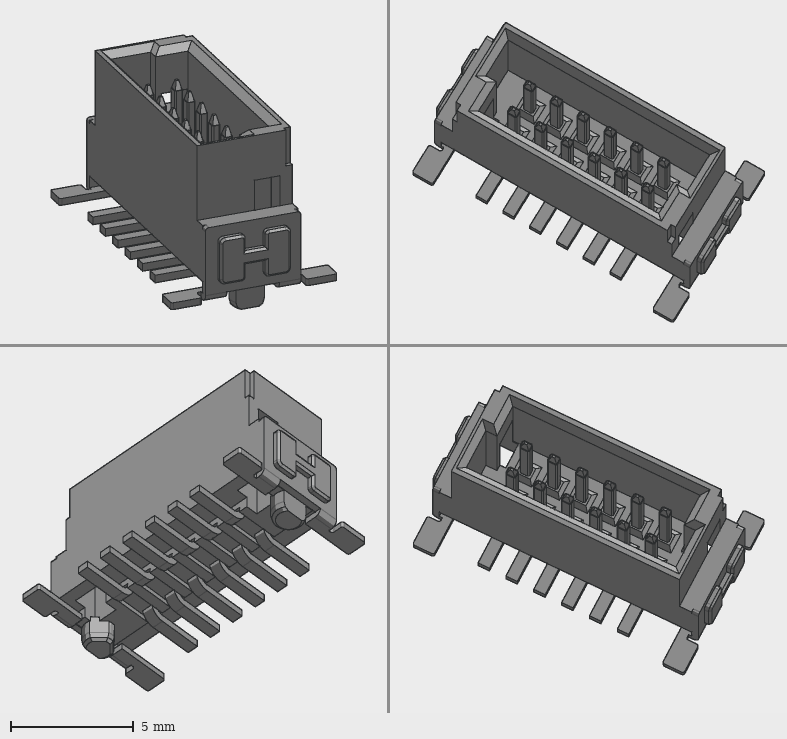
import cadquery as cq

HOUSING_DEPTH = 4.24
HOUSING_BOTTOM = 0.27
KEEL_HALF_DEPTH = 1.02
BODY_BOTTOM = 0.81
BASE_LENGTH = 11.5
BASE_TOP = 3.31
SHROUD_LENGTH = 10.4
SHROUD_TOP = 6.64

CAVITY_FLOOR = 2.03
CAVITY_HALF_DEPTH = 1.6
CAVITY_HALF_LENGTH = 4.78
KEYED_HALF_LENGTH = 4.27
KEY_FACE_Y = 0.17
LEAD_IN = 0.3

WINDOW_Y = (0.43, 1.56)
WINDOW_TOP = 4.65
WINDOW_INNER_X = 4.0
CORNER_NOTCH_LENGTH = 0.22
CORNER_NOTCH_DEPTH = 0.29
CORNER_NOTCH_BOTTOM = 5.04
TAIL_NOTCH_WIDTH = 0.8
TAIL_NOTCH_TOP = 0.51

PIN_COUNT = 6
PITCH = 1.27
PIN_WIDTH = 0.46
PIN_DEPTH = 0.37
PIN_EDGE_CHAMFER = 0.06
PIN_TOP = 5.68
TIP_HEIGHT = 0.4
TIP_WIDTH = 0.13
TIP_DEPTH = 0.11
COLLAR_WIDTH = 0.98
COLLAR_DEPTH = 0.94
COLLAR_TOP_WIDTH = 0.64
COLLAR_TOP_DEPTH = 0.51
COLLAR_HEIGHT = 0.19
TAIL_WIDTH = 0.52
TAIL_THICKNESS = 0.34
TAIL_REACH = 3.21
TAIL_STEM_BACK_Y = 0.53
TAIL_BEND_RADIUS = 0.29

OVERALL_LENGTH = 12.7
PLATE_FACE_X = 6.06
PLATE_BOTTOM = 0.3
PLATE_CORNER = 0.15
BOSS_BOTTOM = 0.77
BOSS_HEIGHT = 2.06
BOSS_WIDTH = 3.15
BOSS_SLOT_WIDTH = 0.89
BOSS_BRIDGE = 0.6
BOSS_CORNER_RADIUS = 0.24
BOSS_INNER_RADIUS = 0.17
BOSS_CHAMFER = 0.1

FOOT_THICKNESS = 0.3
FOOT_SPAN = 7.38
FOOT_REACH = FOOT_SPAN / 2
FOOT_OUTER_X = 6.18
FOOT_INNER_X = 5.21
FOOT_PAD_START = 2.32
FOOT_NECK_X = 5.61
FOOT_CORNER = 0.1
FOOT_BEND_START = 1.17

PEG_RADIUS = 0.74
PEG_X = 5.38
PEG_ROOT = 0.51
PEG_BOTTOM = -0.74
PEG_TAPER_START = -0.38
PEG_TAPER_END = -0.62
PEG_TAPER_RADIUS = 0.67
PEG_END_RADIUS = 0.53
DIAMOND_FLAT_DISTANCE = 0.62

half_depth = HOUSING_DEPTH / 2
half_base = BASE_LENGTH / 2
half_shroud = SHROUD_LENGTH / 2
pin_columns = [(i - (PIN_COUNT - 1) / 2) * PITCH for i in range(PIN_COUNT)]

peg_stations = [
    (PEG_RADIUS, PEG_ROOT), (PEG_RADIUS, PEG_TAPER_START),
    (PEG_TAPER_RADIUS, PEG_TAPER_END), (PEG_END_RADIUS, PEG_BOTTOM),
]


def block(x_range, y_range, z_range):
    """Box between the given limits."""
    (x0, x1), (y0, y1), (z0, z1) = x_range, y_range, z_range
    return cq.Workplane("XY").box(x1 - x0, y1 - y0, z1 - z0, centered=False).translate((x0, y0, z0))


def both_ends(shape):
    """The shape together with its mirror image about X = 0."""
    return shape.union(shape.mirror("YZ"))


def cavity_outline(z, grow):
    """Stepped cavity outline at height z, grown outward on all sides."""
    wide = CAVITY_HALF_LENGTH + grow
    narrow = KEYED_HALF_LENGTH + grow
    back = CAVITY_HALF_DEPTH + grow
    step = KEY_FACE_Y + grow
    points = [
        (-wide, -back), (wide, -back), (wide, step), (narrow, step),
        (narrow, back), (-narrow, back), (-narrow, step), (-wide, step),
    ]
    return cq.Workplane("XY").workplane(offset=z).polyline(points).close()


def frustum(width, depth, top_width, top_depth, bottom, height):
    """Rectangular frustum centred on the Z axis."""
    return (
        cq.Workplane("XY").workplane(offset=bottom).rect(width, depth)
        .workplane(offset=height).rect(top_width, top_depth).loft(ruled=True)
    )


def make_cavity():
    """Mating cavity with a flared lead-in at the rim."""
    straight_top = SHROUD_TOP - LEAD_IN
    straight = cavity_outline(CAVITY_FLOOR, 0).extrude(straight_top - CAVITY_FLOOR)
    flare_wires = [cavity_outline(straight_top, 0).val(), cavity_outline(SHROUD_TOP, LEAD_IN).val()]
    flare = cq.Workplane(cq.Solid.makeLoft(flare_wires, True))
    return straight.union(flare)


def make_housing():
    """Base, narrow keel underneath and shroud, with the cavity and side openings removed."""
    y_range = (-half_depth, half_depth)
    base = block((-half_base, half_base), y_range, (BODY_BOTTOM, BASE_TOP))
    keel = block((-half_base, half_base), (-KEEL_HALF_DEPTH, KEEL_HALF_DEPTH), (HOUSING_BOTTOM, BODY_BOTTOM))
    shroud = block((-half_shroud, half_shroud), y_range, (BODY_BOTTOM, SHROUD_TOP))
    window = block((-half_shroud, -WINDOW_INNER_X), WINDOW_Y, (HOUSING_BOTTOM, WINDOW_TOP))
    corner_notch = block(
        (-half_shroud, CORNER_NOTCH_LENGTH - half_shroud),
        (half_depth - CORNER_NOTCH_DEPTH, half_depth),
        (CORNER_NOTCH_BOTTOM, SHROUD_TOP),
    )
    housing = base.union(keel).union(shroud).cut(make_cavity()).cut(both_ends(window.union(corner_notch)))
    for x in pin_columns:
        notch_x = (x - TAIL_NOTCH_WIDTH / 2, x + TAIL_NOTCH_WIDTH / 2)
        housing = housing.cut(block(notch_x, y_range, (HOUSING_BOTTOM, TAIL_NOTCH_TOP)))
    return housing


def make_contact():
    """Back-row contact at X = 0: collar, pointed pin and a tail bent towards +Y."""
    collar = frustum(
        COLLAR_WIDTH, COLLAR_DEPTH, COLLAR_TOP_WIDTH, COLLAR_TOP_DEPTH, CAVITY_FLOOR, COLLAR_HEIGHT)
    shoulder = PIN_TOP - TIP_HEIGHT
    shaft = (
        cq.Workplane("XY").workplane(offset=CAVITY_FLOOR).rect(PIN_WIDTH, PIN_DEPTH)
        .extrude(shoulder - CAVITY_FLOOR).edges("|Z").chamfer(PIN_EDGE_CHAMFER)
    )
    tip_base_width = PIN_WIDTH - PIN_EDGE_CHAMFER
    tip_base_depth = PIN_DEPTH - PIN_EDGE_CHAMFER
    tip = frustum(tip_base_width, tip_base_depth, TIP_WIDTH, TIP_DEPTH, shoulder, TIP_HEIGHT)
    stem_front = TAIL_STEM_BACK_Y + TAIL_THICKNESS
    bend_end = stem_front + TAIL_BEND_RADIUS
    outer_radius = TAIL_BEND_RADIUS + TAIL_THICKNESS
    tail = (
        cq.Workplane("YZ").moveTo(bend_end, 0).lineTo(TAIL_REACH, 0).lineTo(TAIL_REACH, TAIL_THICKNESS)
        .lineTo(bend_end, TAIL_THICKNESS)
        .radiusArc((stem_front, outer_radius), TAIL_BEND_RADIUS)
        .lineTo(stem_front, CAVITY_FLOOR).lineTo(TAIL_STEM_BACK_Y, CAVITY_FLOOR)
        .lineTo(TAIL_STEM_BACK_Y, outer_radius)
        .radiusArc((bend_end, 0), -outer_radius).close()
        .extrude(TAIL_WIDTH / 2, both=True)
    )
    return collar.union(shaft).union(tip).translate((0, PITCH / 2, 0)).union(tail)


def make_end_plate():
    """End plate at -X with its chamfered H-shaped boss."""
    plate = block((-PLATE_FACE_X, -half_base), (-half_depth, half_depth), (PLATE_BOTTOM, BASE_TOP))
    plate = plate.edges("|X and >Z").fillet(PLATE_CORNER)

    boss_depth = OVERALL_LENGTH / 2 - PLATE_FACE_X
    boss_middle = BOSS_BOTTOM + BOSS_HEIGHT / 2
    side_width = (BOSS_WIDTH - BOSS_SLOT_WIDTH) / 2
    side_y = (BOSS_SLOT_WIDTH + side_width) / 2
    boss = cq.Workplane("YZ").rect(BOSS_SLOT_WIDTH, BOSS_BRIDGE).extrude(boss_depth)
    for side in (-1, 1):
        bar = cq.Workplane("YZ").center(side * side_y, 0).rect(side_width, BOSS_HEIGHT).extrude(boss_depth)
        outer, inner = (">Y", "<Y") if side > 0 else ("<Y", ">Y")
        bar = bar.edges("|X and " + outer).fillet(BOSS_CORNER_RADIUS)
        bar = bar.edges("|X and " + inner).fillet(BOSS_INNER_RADIUS)
        boss = boss.union(bar)
    boss = boss.faces("<X").chamfer(BOSS_CHAMFER)
    return plate.union(boss.translate((-OVERALL_LENGTH / 2, 0, boss_middle)))


def make_foot():
    """Back foot at -X: a wide pad outside, a neck, and a bend up into the end plate."""
    outline = [
        (-FOOT_INNER_X, half_depth), (-FOOT_INNER_X, FOOT_REACH), (-FOOT_OUTER_X, FOOT_REACH),
        (-FOOT_OUTER_X, FOOT_PAD_START), (-FOOT_NECK_X, FOOT_PAD_START), (-FOOT_NECK_X, half_depth),
    ]
    pad = cq.Workplane("XY").polyline(outline).close().extrude(FOOT_THICKNESS)
    pad_corners = cq.selectors.BoxSelector(
        (-FOOT_OUTER_X - FOOT_CORNER, FOOT_PAD_START - FOOT_CORNER, 0),
        (0, FOOT_REACH + FOOT_CORNER, FOOT_THICKNESS),
    )
    pad = pad.edges("|Z").edges(pad_corners).fillet(FOOT_CORNER)
    bend = (
        cq.Workplane("XZ").moveTo(-FOOT_INNER_X, 0).lineTo(-half_base, 0)
        .radiusArc((-PLATE_FACE_X, PLATE_BOTTOM), FOOT_THICKNESS)
        .lineTo(-FOOT_INNER_X, FOOT_THICKNESS).close()
        .extrude(FOOT_BEND_START - half_depth).translate((0, FOOT_BEND_START, 0))
    )
    return pad.union(bend)


def make_round_peg():
    """Peg at -X, flush with the end of the housing."""
    profile = [(0, PEG_ROOT)] + peg_stations + [(0, PEG_BOTTOM)]
    peg = cq.Workplane("XZ").polyline(profile).close().revolve(360, (0, 0, 0), (0, 1, 0))
    peg = peg.translate((-PEG_X, 0, 0))
    return peg.intersect(block((-half_base, 0), (-half_depth, half_depth), (PEG_BOTTOM, PEG_ROOT)))


def make_diamond_peg():
    """Peg at +X: the round peg with 45 degree flats that follow the same taper."""
    flat_ratio = DIAMOND_FLAT_DISTANCE / PEG_RADIUS
    diamond = cq.Workplane("XY")
    for (upper_radius, upper_z), (lower_radius, lower_z) in zip(peg_stations, peg_stations[1:]):
        lower = 2 * flat_ratio * lower_radius
        upper = 2 * flat_ratio * upper_radius
        diamond = diamond.union(frustum(lower, lower, upper, upper, lower_z, upper_z - lower_z))
    diamond = diamond.rotate((0, 0, 0), (0, 0, 1), 45).translate((PEG_X, 0, 0))
    inner_side = diamond.intersect(block((0, PEG_X), (-half_depth, half_depth), (PEG_BOTTOM, PEG_ROOT)))
    outer_side = block((PEG_X, half_base), (-half_depth, half_depth), (PEG_BOTTOM, PEG_ROOT))
    return make_round_peg().mirror("YZ").intersect(inner_side.union(outer_side))


foot = make_foot()
end_fittings = make_end_plate().union(foot).union(foot.mirror("XZ"))
result = make_housing().union(both_ends(end_fittings)).union(make_round_peg()).union(make_diamond_peg())

back_contact = make_contact()
contact_pair = back_contact.union(back_contact.mirror("XZ"))
for x in pin_columns:
    result = result.union(contact_pair.translate((x, 0, 0)))